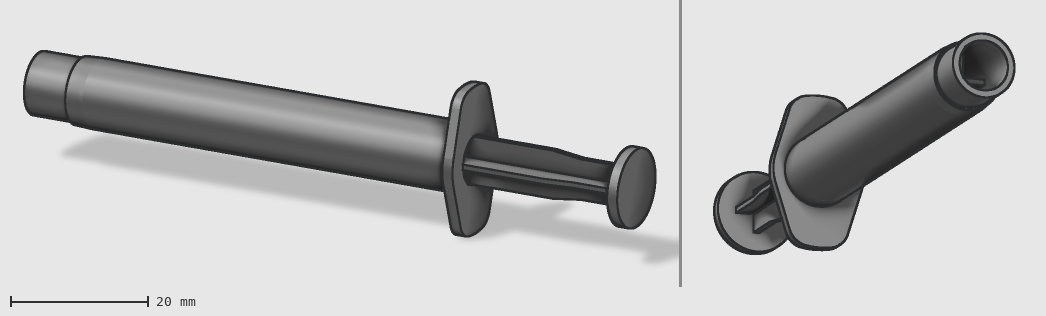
import cadquery as cq
import math

TOTAL_LENGTH = 98.1

NOZZLE_DIAMETER = 9.5
NOZZLE_LENGTH = 7.0
SHOULDER_DIAMETER = 10.2
SHOULDER_LENGTH = 2.9
BARREL_DIAMETER = 10.5
BORE_DIAMETER = 7.5

FLANGE_FRONT = 69.9
FLANGE_THICKNESS = 1.7
FLANGE_HEIGHT = 22.7
FLANGE_WIDTH = 14.0
FLANGE_CORNER_RADIUS = 3.0
FLANGE_SIDE_ANGLE = 17.7

RIB_THICKNESS = 0.83
PLUNGER_FRONT = NOZZLE_LENGTH + SHOULDER_LENGTH
TAPER_START = 84.7
TAPER_END = 89.3
RIB_REAR_DIAMETER = 6.3
HEAD_DIAMETER = 11.9
HEAD_THICKNESS = 1.7

FLANGE_REAR = FLANGE_FRONT + FLANGE_THICKNESS
HEAD_FRONT = TOTAL_LENGTH - HEAD_THICKNESS


def revolve_about_x(profile):
    """Solid of revolution about X from (x, radius) points; the axis closes the outline."""
    start = (profile[0][0], 0)
    end = (profile[-1][0], 0)
    outline = cq.Workplane("XY").polyline([start, *profile, end]).close()
    return outline.revolve(360, (0, 0, 0), (1, 0, 0))


def cylinder_along_x(diameter, start, length):
    return cq.Workplane("YZ").workplane(offset=start).circle(diameter / 2).extrude(length)


def make_flange():
    """Plate inside the height circle, with sides tangent to the width circle and rounded corners."""
    angle = math.radians(FLANGE_SIDE_ANGLE)
    side_radius = FLANGE_WIDTH / 2
    corner_y = side_radius / math.cos(angle)
    corner_z = side_radius / math.sin(angle)
    rhombus = (
        cq.Workplane("YZ")
        .workplane(offset=FLANGE_FRONT)
        .polyline([(corner_y, 0), (0, corner_z), (-corner_y, 0), (0, -corner_z)])
        .close()
        .extrude(FLANGE_THICKNESS)
    )
    plate = rhombus.edges("|X").edges(">Y or <Y").fillet(side_radius)
    plate = plate.intersect(cylinder_along_x(FLANGE_HEIGHT, FLANGE_FRONT, FLANGE_THICKNESS))
    return plate.edges("|X").edges(">Z or <Z").fillet(FLANGE_CORNER_RADIUS)


def make_barrel():
    tube = revolve_about_x([
        (0, NOZZLE_DIAMETER / 2),
        (NOZZLE_LENGTH, NOZZLE_DIAMETER / 2),
        (NOZZLE_LENGTH, SHOULDER_DIAMETER / 2),
        (NOZZLE_LENGTH + SHOULDER_LENGTH, BARREL_DIAMETER / 2),
        (FLANGE_REAR, BARREL_DIAMETER / 2),
    ])
    bore = cylinder_along_x(BORE_DIAMETER, 0, FLANGE_REAR)
    return tube.union(make_flange()).cut(bore)


def make_plunger():
    """Two crossing ribs, trimmed round to slide in the bore, with a thumb disc at the rear."""
    rib_length = HEAD_FRONT - PLUNGER_FRONT
    rib_plane = cq.Workplane("YZ").workplane(offset=PLUNGER_FRONT)
    flat_rib = rib_plane.rect(BORE_DIAMETER, RIB_THICKNESS).extrude(rib_length)
    upright_rib = rib_plane.rect(RIB_THICKNESS, BORE_DIAMETER).extrude(rib_length)
    cross = flat_rib.union(upright_rib)
    envelope = revolve_about_x([
        (PLUNGER_FRONT, BORE_DIAMETER / 2),
        (TAPER_START, BORE_DIAMETER / 2),
        (TAPER_END, RIB_REAR_DIAMETER / 2),
        (HEAD_FRONT, RIB_REAR_DIAMETER / 2),
    ])
    head = cylinder_along_x(HEAD_DIAMETER, HEAD_FRONT, HEAD_THICKNESS)
    return cross.intersect(envelope).union(head)


barrel = make_barrel()
plunger = make_plunger()

result = cq.Compound.makeCompound([barrel.solids().val(), plunger.solids().val()])